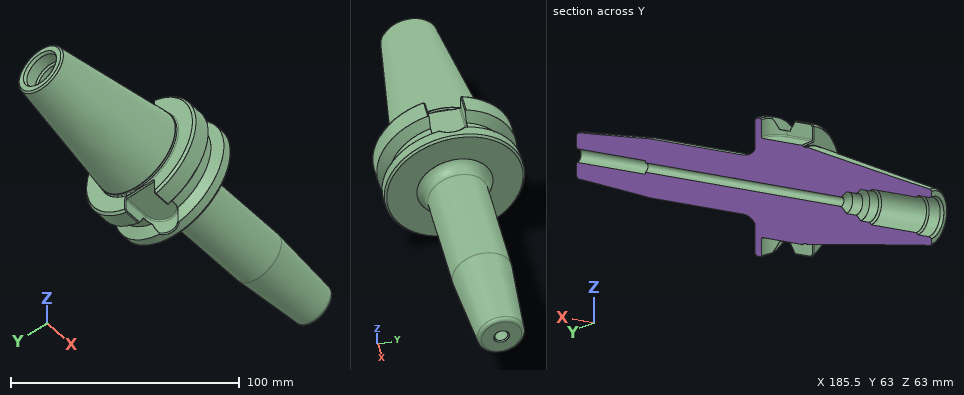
import cadquery as cq
import math

total_length = 185.5

taper_length = 65.5
taper_large_diameter = 44.5
taper_ratio = 7 / 24
taper_small_diameter = taper_large_diameter - taper_ratio * taper_length
rear_chamfer = 0.7
relief_diameter = 44.0
relief_fillet = 0.5

flange_start = 67.1
flange_end = 92.3
flange_diameter = 63.0
flange_front_chamfer = 1.0
flange_rear_chamfer = 1.1
groove_diameter = 53.0
groove_floor_start = 79.4
groove_floor_end = 84.2
groove_wall_angle = 30.0

shank_diameter = 27.0
root_fillet_length = 6.1
root_fillet_height = 3.5
nose_start = 147.0
nose_end_diameter = 21.3
nose_rounding = 1.7

slot_width = 16.1
slot_end = 88.8
slot_floor_height = 22.6
slot_edge_chamfer = 0.5
slot_floor_fillet = 0.5

entry_diameter = 19.0
entry_depth = 1.5
pilot_diameter = 17.6
pilot_end = 7.2
thread_diameter = 16.0
thread_end = 31.5
core_diameter = 14.0
core_end = 37.0
pocket_diameter = 9.6
pocket_end = 44.5
through_diameter = 4.0
tool_bore_diameter = 6.0
tool_bore_depth = 36.0
tool_entry_diameter = 7.0


def make_body():
    """Revolve the outer outline about X."""
    flange_radius = flange_diameter / 2
    groove_radius = groove_diameter / 2
    groove_wall_length = (flange_radius - groove_radius) * math.tan(math.radians(groove_wall_angle))
    shank_radius = shank_diameter / 2
    nose_radius = nose_end_diameter / 2

    fillet_radius = (root_fillet_length**2 + root_fillet_height**2) / (2 * root_fillet_height)
    fillet_end = flange_end + root_fillet_length
    half_sweep = math.asin(root_fillet_length / fillet_radius) / 2
    fillet_middle = (
        fillet_end - fillet_radius * math.sin(half_sweep),
        shank_radius + fillet_radius * (1 - math.cos(half_sweep)),
    )

    relief_offset = relief_fillet * (1 - math.sqrt(0.5))
    relief_middle = (flange_start - relief_offset, relief_diameter / 2 + relief_offset)

    rounding_offset = nose_rounding * (1 - math.sqrt(0.5))
    rounding_middle = (total_length - rounding_offset, nose_radius - rounding_offset)

    outline = (
        cq.Workplane("XY")
        .moveTo(0, 0)
        .lineTo(0, taper_small_diameter / 2 - rear_chamfer)
        .lineTo(rear_chamfer, taper_small_diameter / 2 + rear_chamfer * taper_ratio / 2)
        .lineTo(taper_length, taper_large_diameter / 2)
        .lineTo(taper_length, relief_diameter / 2)
        .lineTo(flange_start - relief_fillet, relief_diameter / 2)
        .threePointArc(relief_middle, (flange_start, relief_diameter / 2 + relief_fillet))
        .lineTo(flange_start, flange_radius - flange_rear_chamfer)
        .lineTo(flange_start + flange_rear_chamfer, flange_radius)
        .lineTo(groove_floor_start - groove_wall_length, flange_radius)
        .lineTo(groove_floor_start, groove_radius)
        .lineTo(groove_floor_end, groove_radius)
        .lineTo(groove_floor_end + groove_wall_length, flange_radius)
        .lineTo(flange_end - flange_front_chamfer, flange_radius)
        .lineTo(flange_end, flange_radius - flange_front_chamfer)
        .lineTo(flange_end, shank_radius + root_fillet_height)
        .threePointArc(fillet_middle, (fillet_end, shank_radius))
        .lineTo(nose_start, shank_radius)
        .lineTo(total_length - nose_rounding, nose_radius)
        .threePointArc(rounding_middle, (total_length, nose_radius - nose_rounding))
        .lineTo(total_length, 0)
        .close()
    )
    return outline.revolve(360, (0, 0, 0), (1, 0, 0))


def make_bore():
    """Revolve the stepped internal passage about X."""
    thread_cone_end = pilot_end + (pilot_diameter - thread_diameter) / 2
    core_cone_end = thread_end + (thread_diameter - core_diameter) / 2
    pocket_cone_end = core_end + (core_diameter - pocket_diameter) / 2
    drill_cone_end = pocket_end + (pocket_diameter - through_diameter) / 2
    tool_bore_start = total_length - tool_bore_depth
    tool_entry_start = total_length - (tool_entry_diameter - tool_bore_diameter) / 2
    outline = (
        cq.Workplane("XY")
        .moveTo(0, 0)
        .lineTo(0, entry_diameter / 2)
        .lineTo(entry_depth, pilot_diameter / 2)
        .lineTo(pilot_end, pilot_diameter / 2)
        .lineTo(thread_cone_end, thread_diameter / 2)
        .lineTo(thread_end, thread_diameter / 2)
        .lineTo(core_cone_end, core_diameter / 2)
        .lineTo(core_end, core_diameter / 2)
        .lineTo(pocket_cone_end, pocket_diameter / 2)
        .lineTo(pocket_end, pocket_diameter / 2)
        .lineTo(drill_cone_end, through_diameter / 2)
        .lineTo(tool_bore_start, through_diameter / 2)
        .lineTo(tool_bore_start, tool_bore_diameter / 2)
        .lineTo(tool_entry_start, tool_bore_diameter / 2)
        .lineTo(total_length, tool_entry_diameter / 2)
        .lineTo(total_length, 0)
        .close()
    )
    return outline.revolve(360, (0, 0, 0), (1, 0, 0))


def make_slot():
    """Round-ended drive slot cutter on the +Z side, open toward the rear."""
    half_width = slot_width / 2
    arc_center = slot_end - half_width
    return (
        cq.Workplane("XY", origin=(0, 0, slot_floor_height))
        .moveTo(flange_start, -half_width)
        .lineTo(arc_center, -half_width)
        .threePointArc((slot_end, 0), (arc_center, half_width))
        .lineTo(flange_start, half_width)
        .close()
        .extrude(flange_diameter / 2)
        .faces("<Z")
        .edges("not <X")
        .fillet(slot_floor_fillet)
    )


def is_slot_rim(edge):
    """Tell whether an edge is where a slot wall meets the outside of the flange, groove excluded."""
    tolerance = 0.02
    half_width = slot_width / 2
    for fraction in (0, 0.5, 1):
        point = edge.positionAt(fraction)
        past_arc_center = max(point.x - (slot_end - half_width), 0)
        wall_offset = math.hypot(past_arc_center, point.y)
        on_wall = abs(wall_offset - half_width) < tolerance
        on_rear_edge = point.x < flange_start + flange_rear_chamfer + tolerance
        on_outer_surface = math.hypot(point.y, point.z) > flange_diameter / 2 - tolerance
        if not on_wall or not (on_rear_edge or on_outer_surface):
            return False
    return True


result = make_body().cut(make_bore())
for side_angle in (0, 180):
    result = result.cut(make_slot().rotate((0, 0, 0), (1, 0, 0), side_angle))
rim_edges = [edge for edge in result.edges().vals() if is_slot_rim(edge)]
result = result.newObject(rim_edges).chamfer(slot_edge_chamfer)